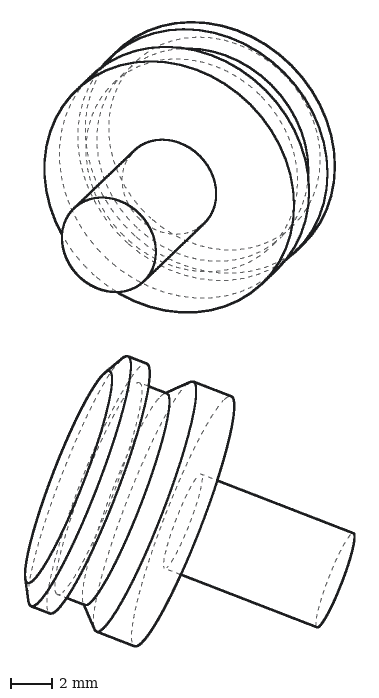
import cadquery as cq
import math

total_length = 14.0
head_length = 6.0
head_radius = 13.0 / 2
stem_radius = 4.9 / 2

groove_depth = 1.0
front_band_width = 2.0
rear_band_width = 1.0
rear_chamfer_angle = 30.0

groove_radius = head_radius - groove_depth

head_front = 0.0
stem_tip = head_length - total_length
front_band_end = head_front + front_band_width
groove_start = front_band_end + groove_depth
rear_face = head_length
rear_chamfer_length = groove_depth * math.tan(math.radians(rear_chamfer_angle))
rear_band_end = rear_face - rear_chamfer_length
groove_end = rear_band_end - rear_band_width

half_section = [
    (0, stem_tip),
    (stem_radius, stem_tip),
    (stem_radius, head_front),
    (head_radius, head_front),
    (head_radius, front_band_end),
    (groove_radius, groove_start),
    (groove_radius, groove_end),
    (head_radius, groove_end),
    (head_radius, rear_band_end),
    (groove_radius, rear_face),
    (0, rear_face),
]

result = cq.Workplane("XY").polyline(half_section).close().revolve(360, (0, 0, 0), (0, 1, 0))